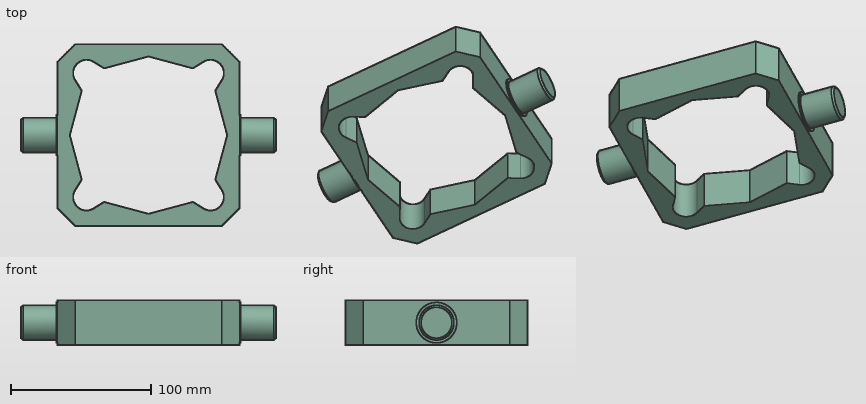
import cadquery as cq
import math

overall_length = 182.0
frame_side = 130.0
frame_height = 32.0
corner_chamfer = 12.7

pin_diameter = 25.0
pin_end_chamfer = 1.5
collar_diameter = 29.0
collar_thickness = 1.0

peak_distance = 56.0
side_half_width = 31.7
side_slope = 15
pocket_offset = 44.2
pocket_radius = 9.5

half_side = frame_side / 2
pin_length = overall_length / 2 - half_side


def make_frame():
    return (
        cq.Workplane("XY")
        .box(frame_side, frame_side, frame_height)
        .edges("|Z")
        .chamfer(corner_chamfer)
    )


def pocket_tangent_point(side_end):
    """Point where a line from the end of the +Y side touches the +X +Y pocket."""
    dx = side_end[0] - pocket_offset
    dy = side_end[1] - pocket_offset
    pocket_bearing = math.atan2(dy, dx)
    touch_angle = pocket_bearing - math.acos(pocket_radius / math.hypot(dx, dy))
    return (
        pocket_offset + pocket_radius * math.cos(touch_angle),
        pocket_offset + pocket_radius * math.sin(touch_angle),
    )


def make_opening():
    slope_drop = side_half_width * math.tan(math.radians(side_slope))
    side_end = (side_half_width, peak_distance - slope_drop)
    touch = pocket_tangent_point(side_end)
    pocket_crown = pocket_offset + pocket_radius / math.sqrt(2)

    def turned(point, quarter_turns):
        x, y = point
        for _ in range(quarter_turns):
            x, y = y, -x
        return (x, y)

    outline = cq.Workplane("XY").workplane(offset=-frame_height / 2).moveTo(0, peak_distance)
    for quarter in range(4):
        outline = (
            outline.lineTo(*turned(side_end, quarter))
            .lineTo(*turned(touch, quarter))
            .threePointArc(
                turned((pocket_crown, pocket_crown), quarter),
                turned((touch[1], touch[0]), quarter),
            )
            .lineTo(*turned((side_end[1], side_end[0]), quarter))
        )
        if quarter < 3:
            outline = outline.lineTo(*turned((0, peak_distance), quarter + 1))
    return outline.close().extrude(frame_height)


def make_pin():
    """Collared pin standing on the +X face of the frame."""
    face = cq.Workplane("YZ").workplane(offset=half_side)
    collar = face.circle(collar_diameter / 2).extrude(collar_thickness)
    pin = face.circle(pin_diameter / 2).extrude(pin_length).faces(">X").chamfer(pin_end_chamfer)
    return pin.union(collar)


right_pin = make_pin()
left_pin = right_pin.mirror("YZ")
result = make_frame().cut(make_opening()).union(right_pin).union(left_pin)